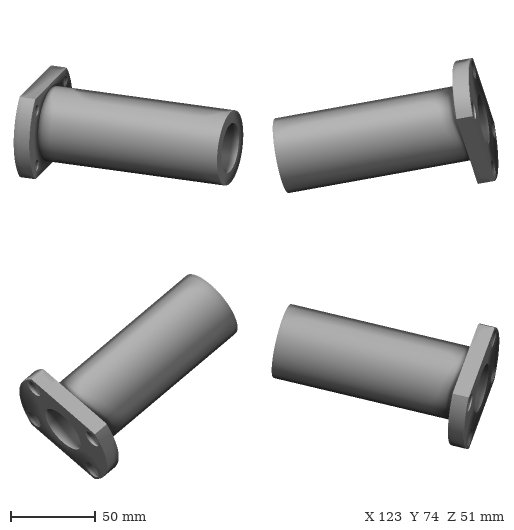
import cadquery as cq

total_length = 123.0
tube_diameter = 45.0
bore_diameter = 30.0
flange_diameter = 74.0
flange_height = 51.0
flange_thickness = 10.1
flange_edge_chamfer = 0.2

bolt_spacing_y = 49.0
bolt_spacing_z = 35.0
screw_hole_diameter = 6.6
counterbore_diameter = 11.0
counterbore_depth = 6.6


def make_flange():
    """Round flange with chamfered rims, cut flat at the top and bottom."""
    disc = cq.Workplane("YZ").circle(flange_diameter / 2).extrude(flange_thickness)
    disc = disc.edges().chamfer(flange_edge_chamfer)
    flat_sides = cq.Workplane("YZ").rect(flange_diameter, flange_height).extrude(flange_thickness)
    return disc.intersect(flat_sides)


def cut_screw_holes(body):
    """Four counterbored holes, with the counterbores open on the front face."""
    centres = cq.Workplane("YZ").rect(bolt_spacing_y, bolt_spacing_z, forConstruction=True).vertices()
    holes = centres.circle(screw_hole_diameter / 2).extrude(flange_thickness)
    counterbores = centres.circle(counterbore_diameter / 2).extrude(counterbore_depth)
    return body.cut(holes).cut(counterbores)


tube = cq.Workplane("YZ").circle(tube_diameter / 2).extrude(total_length)
bore = cq.Workplane("YZ").circle(bore_diameter / 2).extrude(total_length)

result = cut_screw_holes(make_flange().union(tube).cut(bore))